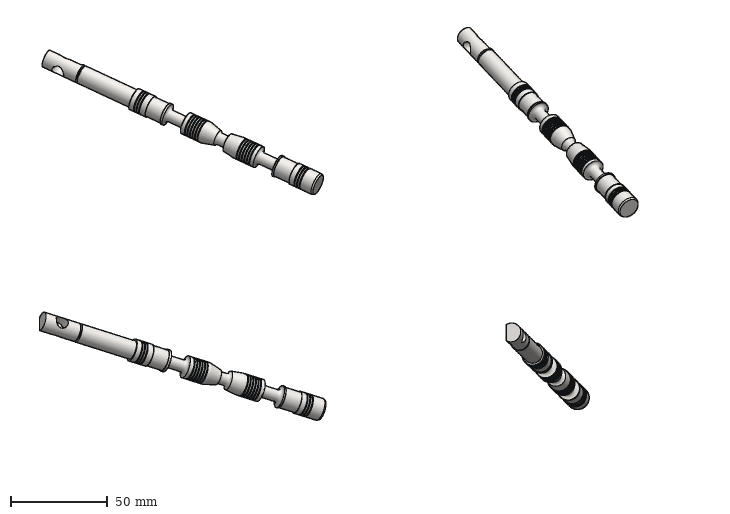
import cadquery as cq
import math

LENGTH = 162.0
COLLAR_R = 12.0 / 2
SHANK_R = 10.0 / 2
RELIEF_R = 11.2 / 2
NECK_R = 6.5 / 2
FILLET_R = 2.0

RING_GROOVE_START = 20.1
RING_GROOVE_WIDTH = 1.0
RING_GROOVE_R = 7.0 / 2
FLAT_LENGTH = 19.1
FLAT_Y = 5.3 / 2
HOLE_X = 9.4
HOLE_DIAMETER = 7.0
HOLE_CHAMFER = 1.6

FRONT_COLLAR_START = 52.3
FRONT_RELIEF_START = 62.0
FRONT_RELIEF_END = 71.0
FRONT_COLLAR_END = 72.3
FRONT_LAND_START = 83.1
FRONT_LAND_END = 95.3
FRONT_CONE_END = 102.0
REAR_CONE_START = 108.0
REAR_LAND_START = 114.7
REAR_LAND_END = 126.5
REAR_COLLAR_START = 137.7
REAR_RELIEF_START = 138.7
REAR_RELIEF_END = 147.9

FRONT_CONE_TIP_R = 8.5 / 2
REAR_CONE_TIP_R = 10.2 / 2

END_CHAMFER_LENGTH = 1.0
END_CHAMFER_DEPTH = 0.5

RING_PITCH = 1.5
RING_WIDTH = 0.5
RING_R = 11.5 / 2
COLLAR_RINGS = 3
LAND_RINGS = 6
FRONT_COLLAR_RINGS_X = 55.4
FRONT_LAND_RINGS_X = 85.7
REAR_LAND_RINGS_X = 116.6
REAR_COLLAR_RINGS_X = 151.1


def fillet_arc(foot_x, toward_land, land_r):
    """Middle and outer points of the concave arc that rises from a neck to a land.

    The arc is tangent to the neck and ends at the land radius or after a quarter turn.
    """
    rise = min(FILLET_R, land_r - NECK_R)
    sweep = math.acos(1 - rise / FILLET_R)

    def arc_point(angle):
        along = toward_land * FILLET_R * math.sin(angle)
        return foot_x + along, NECK_R + FILLET_R * (1 - math.cos(angle))

    return arc_point(sweep / 2), arc_point(sweep)


def fillet_run(land_r):
    """Axial length taken by the fillet between a neck and a land."""
    rise = min(FILLET_R, land_r - NECK_R)
    return math.sqrt(FILLET_R**2 - (FILLET_R - rise) ** 2)


def add_neck(profile, start, end, start_land_r, end_land_r):
    """Continue the outline from one land, along a filleted neck, to the next land."""
    start_foot = start + fillet_run(start_land_r)
    end_foot = end - fillet_run(end_land_r)
    start_middle, start_top = fillet_arc(start_foot, -1, start_land_r)
    end_middle, end_top = fillet_arc(end_foot, 1, end_land_r)

    if start_land_r > NECK_R + FILLET_R:
        profile = profile.lineTo(*start_top)
    profile = (
        profile
        .threePointArc(start_middle, (start_foot, NECK_R))
        .lineTo(end_foot, NECK_R)
        .threePointArc(end_middle, end_top)
    )
    if end_land_r > NECK_R + FILLET_R:
        profile = profile.lineTo(end, end_land_r)
    return profile


def make_body():
    """Revolve the stepped outline around the X axis."""
    profile = (
        cq.Workplane("XY")
        .lineTo(0, SHANK_R)
        .lineTo(FRONT_COLLAR_START, SHANK_R)
        .lineTo(FRONT_COLLAR_START, COLLAR_R)
        .lineTo(FRONT_RELIEF_START, COLLAR_R)
        .lineTo(FRONT_RELIEF_START, RELIEF_R)
        .lineTo(FRONT_RELIEF_END, RELIEF_R)
        .lineTo(FRONT_RELIEF_END, COLLAR_R)
        .lineTo(FRONT_COLLAR_END, COLLAR_R)
    )
    profile = add_neck(profile, FRONT_COLLAR_END, FRONT_LAND_START, COLLAR_R, COLLAR_R)
    profile = profile.lineTo(FRONT_LAND_END, COLLAR_R).lineTo(FRONT_CONE_END, FRONT_CONE_TIP_R)
    profile = add_neck(profile, FRONT_CONE_END, REAR_CONE_START, FRONT_CONE_TIP_R, REAR_CONE_TIP_R)
    profile = profile.lineTo(REAR_LAND_START, COLLAR_R).lineTo(REAR_LAND_END, COLLAR_R)
    profile = add_neck(profile, REAR_LAND_END, REAR_COLLAR_START, COLLAR_R, COLLAR_R)
    profile = (
        profile
        .lineTo(REAR_RELIEF_START, COLLAR_R)
        .lineTo(REAR_RELIEF_START, RELIEF_R)
        .lineTo(REAR_RELIEF_END, RELIEF_R)
        .lineTo(REAR_RELIEF_END, COLLAR_R)
        .lineTo(LENGTH - END_CHAMFER_LENGTH, COLLAR_R)
        .lineTo(LENGTH, COLLAR_R - END_CHAMFER_DEPTH)
        .lineTo(LENGTH, 0)
        .close()
    )
    return profile.revolve(360, (0, 0), (1, 0))


def ring_cutter(start, width, floor_r):
    """Annular cutter that leaves a groove with the given floor radius."""
    return cq.Workplane("YZ", origin=(start, 0, 0)).circle(2 * COLLAR_R).circle(floor_r).extrude(width)


def cut_rings(body, first_x, count):
    """Cut evenly spaced ring grooves, the first centred at first_x."""
    for index in range(count):
        start = first_x + index * RING_PITCH - RING_WIDTH / 2
        body = body.cut(ring_cutter(start, RING_WIDTH, RING_R))
    return body


def cut_drive_end(body):
    """Cut the retaining groove, the side flat and the bevelled cross hole in the shank."""
    hole_r = HOLE_DIAMETER / 2
    flat = cq.Workplane("XY").box(FLAT_LENGTH, COLLAR_R, 2 * COLLAR_R, centered=(False, False, True))
    hole = cq.Workplane("XZ").center(HOLE_X, 0).circle(hole_r).extrude(COLLAR_R, both=True)
    bevel = cq.Solid.makeCone(
        hole_r + HOLE_CHAMFER,
        hole_r,
        HOLE_CHAMFER,
        pnt=cq.Vector(HOLE_X, FLAT_Y, 0),
        dir=cq.Vector(0, -1, 0),
    )
    body = body.cut(ring_cutter(RING_GROOVE_START, RING_GROOVE_WIDTH, RING_GROOVE_R))
    return body.cut(flat.translate((0, FLAT_Y, 0))).cut(hole).cut(cq.Workplane(bevel))


result = cut_drive_end(make_body())
result = cut_rings(result, FRONT_COLLAR_RINGS_X, COLLAR_RINGS)
result = cut_rings(result, FRONT_LAND_RINGS_X, LAND_RINGS)
result = cut_rings(result, REAR_LAND_RINGS_X, LAND_RINGS)
result = cut_rings(result, REAR_COLLAR_RINGS_X, COLLAR_RINGS)